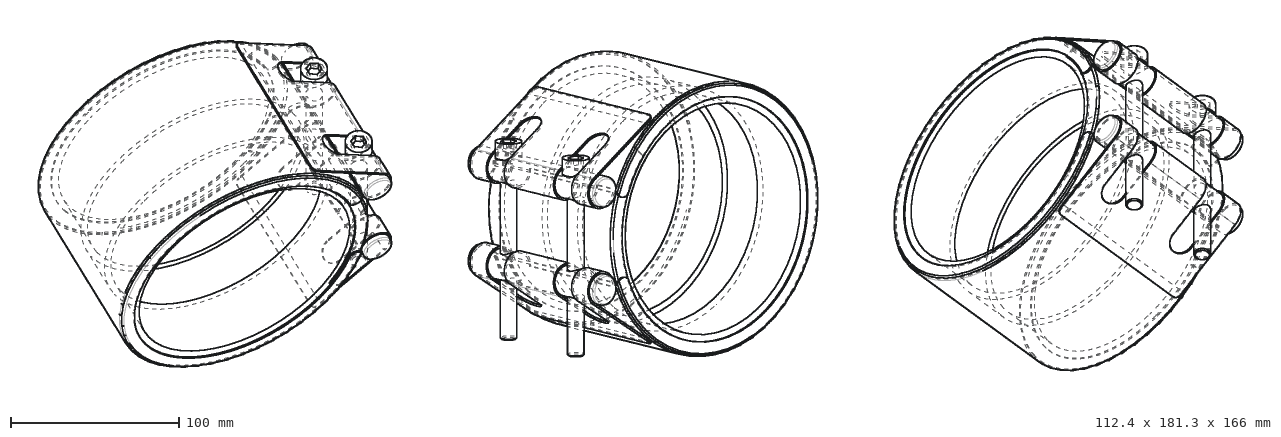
import cadquery as cq
import math

width = 112.4
pipe_radius = 139.7 / 2

casing_radius = 83.0
sheet = 1.0
flange_inner_radius = 74.0
joint_half_angle = 22.3
flange_tip_radius = 5.4
edge_radius = 2.0

strip_inner_radius = 73.3
strip_bend = 1.5
strip_half_angle = 40.0

gasket_bore_radius = 74.0
lip_length = 38.5

bar_y = 87.78
bar_z = 29.8
loop_radius = 10.5
lug_sheet = 1.2
lug_width = 105.2
lug_rise = 1.0
lug_corner = 3.5
bar_end_radius = 1.0
slot_width = 16.2
slot_end_y = 64.9

bolt_x = 30.0
bolt_radius = 5.0
bolt_tip_z = -74.1
bolt_tip_chamfer = 0.8
head_radius = 8.0
head_height = 10.0
head_top_z = 46.3
socket_flats = 8.0
socket_depth = 5.0
socket_cone_angle = 30.0

bar_radius = loop_radius - lug_sheet
bar_distance = math.hypot(bar_y, bar_z)
lug_reach = casing_radius + lug_rise
lug_normal = math.atan2(bar_z, bar_y) + math.acos((lug_reach - loop_radius) / bar_distance)
normal_y = math.cos(lug_normal)
normal_z = math.sin(lug_normal)
flange_mid_radius = (casing_radius + flange_inner_radius) / 2
envelope = 2 * casing_radius


def rod(length, radius, y=0, z=0):
    """Solid cylinder parallel to X, centred on the YZ plane."""
    return cq.Workplane("YZ").center(y, z).circle(radius).extrude(length / 2, both=True)


def ring(length, outer, inner):
    """Tube along X, centred on the origin."""
    return rod(length, outer).cut(rod(length, inner))


def channel(length, outer, inner, bend):
    """Ring of sheet with inward flanges, as a C section turned about X."""
    body = ring(length, outer, inner)
    outer_edges = cq.selectors.RadiusNthSelector(-1)
    body = body.edges("%CIRCLE").edges(outer_edges).fillet(bend)
    return body.cut(rod(length - 2 * sheet, outer - sheet))


def sector(half_angle):
    """Wedge about +Y that spans the joint."""
    rise = envelope * math.tan(math.radians(half_angle))
    return (
        cq.Workplane("YZ")
        .polyline([(0, 0), (envelope, rise), (envelope, -rise)])
        .close()
        .extrude(width, both=True)
    )


def make_casing():
    gap = sector(joint_half_angle)
    tip_y = flange_mid_radius * math.cos(math.radians(joint_half_angle))
    tip_z = flange_mid_radius * math.sin(math.radians(joint_half_angle))
    for side in (1, -1):
        gap = gap.cut(rod(2 * width, flange_tip_radius, tip_y, side * tip_z))
    return channel(width, casing_radius, flange_inner_radius, edge_radius).cut(gap)


def make_strip():
    strip_radius = casing_radius - sheet
    strip = channel(width - 2 * sheet, strip_radius, strip_inner_radius, strip_bend)
    return strip.intersect(sector(strip_half_angle))


def make_gasket():
    length = width - 4 * sheet
    sleeve = ring(length, casing_radius - sheet, pipe_radius)
    return sleeve.cut(rod(length - 2 * lip_length, gasket_bore_radius))


def make_lug():
    """Upper lug: an open loop round the bar and a flat from it, tangent to the casing."""
    outer_start = (bar_y + loop_radius * normal_y, bar_z + loop_radius * normal_z)
    outer_end = (lug_reach * normal_y, lug_reach * normal_z)
    inner_end = (outer_end[0] - lug_sheet * normal_y, outer_end[1] - lug_sheet * normal_z)
    inner_start = (bar_y + bar_radius * normal_y, bar_z + bar_radius * normal_z)
    flat = (
        cq.Workplane("YZ")
        .polyline([outer_start, outer_end, inner_end, inner_start])
        .close()
        .extrude(lug_width / 2, both=True)
    )
    across_sheet = cq.Vector(0, normal_y, normal_z)
    corner_edges = flat.faces("<Y").edges(cq.selectors.ParallelDirSelector(across_sheet))
    flat = flat.newObject(corner_edges.vals()).fillet(lug_corner)
    loop = rod(lug_width, loop_radius, bar_y, bar_z).cut(rod(lug_width, bar_radius, bar_y, bar_z))
    far = 2 * loop_radius
    opening = (
        cq.Workplane("YZ")
        .center(bar_y, bar_z)
        .polyline([(0, 0), (far * normal_y, far * normal_z), (-far, far), (-far, 0)])
        .close()
        .extrude(lug_width, both=True)
    )
    lug = flat.union(loop.cut(opening))
    for x in (-bolt_x, bolt_x):
        lug = lug.cut(make_slot(x))
    return lug


def make_slot(x):
    """Bolt slot square to the lug flat, open through the loop."""
    along_y, along_z = normal_z, -normal_y
    offset = (slot_end_y - lug_reach * normal_y) / along_y + slot_width / 2
    plane = cq.Plane(
        origin=(
            x,
            lug_reach * normal_y + offset * along_y,
            lug_reach * normal_z + offset * along_z,
        ),
        xDir=(0, along_y, along_z),
        normal=(0, normal_y, normal_z),
    )
    run_length = casing_radius
    depth = 2 * loop_radius + lug_sheet
    run = (
        cq.Workplane(plane)
        .center(run_length / 2, 0)
        .rect(run_length, slot_width)
        .extrude(depth, both=True)
    )
    rounded_end = cq.Workplane(plane).circle(slot_width / 2).extrude(depth, both=True)
    return run.union(rounded_end)


def make_bar():
    return rod(width, bar_radius, bar_y, bar_z).faces("<X or >X").fillet(bar_end_radius)


def make_bolt(x):
    shank = (
        cq.Workplane("XY", origin=(x, bar_y, bolt_tip_z))
        .circle(bolt_radius)
        .extrude(head_top_z - head_height - bolt_tip_z)
        .faces("<Z")
        .chamfer(bolt_tip_chamfer)
    )
    head = (
        cq.Workplane("XY", origin=(x, bar_y, head_top_z - head_height))
        .circle(head_radius)
        .extrude(head_height)
    )
    return shank.union(head)


def make_socket(x):
    """Hexagonal socket with a drilled conical bottom."""
    corner_radius = socket_flats / math.sqrt(3)
    cone_depth = corner_radius * math.tan(math.radians(socket_cone_angle))
    hexagon = (
        cq.Workplane("XY", origin=(x, bar_y, head_top_z))
        .polygon(6, 2 * corner_radius)
        .extrude(-socket_depth - cone_depth)
    )
    drill = (
        cq.Workplane("XZ")
        .polyline([
            (0, 0),
            (corner_radius, 0),
            (corner_radius, -socket_depth),
            (0, -socket_depth - cone_depth),
        ])
        .close()
        .revolve(360, (0, 0), (0, 1))
        .translate((x, bar_y, head_top_z))
    )
    return hexagon.intersect(drill)


clamp_side = make_lug().union(make_bar())
result = make_gasket().union(make_strip()).union(make_casing())
result = result.union(clamp_side).union(clamp_side.mirror("XY"))
for bolt_place in (-bolt_x, bolt_x):
    result = result.union(make_bolt(bolt_place)).cut(make_socket(bolt_place))